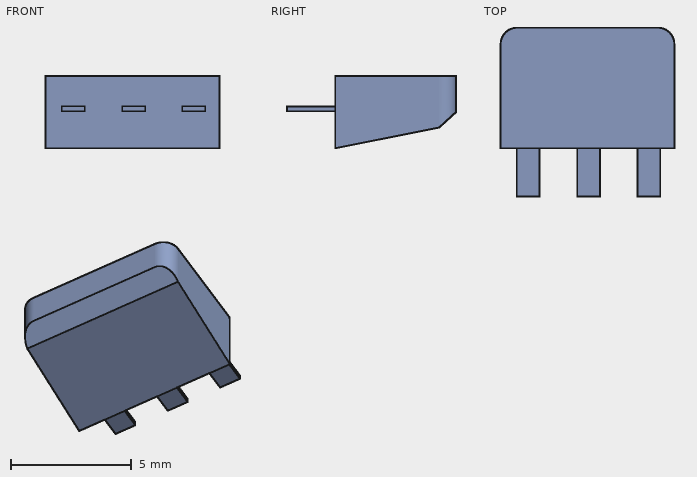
import cadquery as cq

housing_width = 7.2
housing_depth = 5.0
housing_height = 3.0
corner_radius = 0.7
ramp_rise = 0.86
back_edge_rise = 1.5

pin_count = 3
pin_width = 0.95
pin_thickness = 0.2
pin_length = 1.995
pin_pitch = 2.5
pin_row_offset = 0.04
pin_bottom = 1.53


def make_housing():
    """Block with a two-slope underside and rounded vertical back corners; front face at Y = 0."""
    knee_y = housing_depth - corner_radius
    side_profile = [
        (0, 0),
        (knee_y, ramp_rise),
        (housing_depth, back_edge_rise),
        (housing_depth, housing_height),
        (0, housing_height),
    ]
    block = (
        cq.Workplane("YZ")
        .polyline(side_profile)
        .close()
        .extrude(housing_width / 2, both=True)
    )
    return block.edges("|Z and >Y").fillet(corner_radius)


def make_pin(center_x):
    """Flat pin whose inner end rests on the housing's front face."""
    return (
        cq.Workplane("XY")
        .box(pin_width, pin_length, pin_thickness, centered=(True, False, False))
        .translate((center_x, -pin_length, pin_bottom))
    )


housing = make_housing()

pins = []
for index in range(pin_count):
    steps_from_middle = index - (pin_count - 1) / 2
    pin = make_pin(pin_row_offset + steps_from_middle * pin_pitch)
    pins.append(pin.val())

result = cq.Compound.makeCompound([housing.val(), *pins])